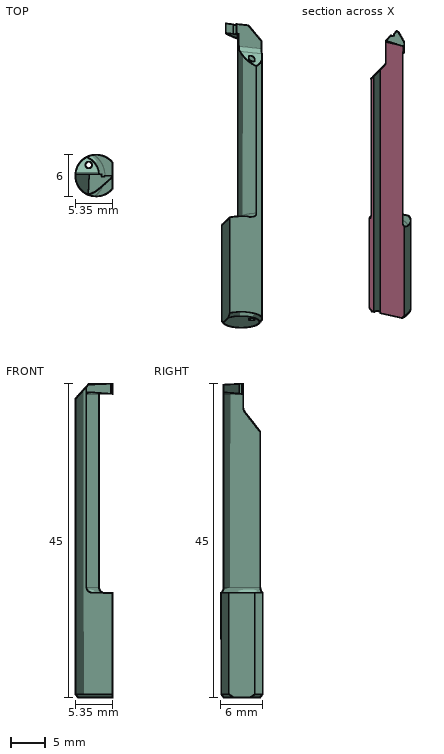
import cadquery as cq
import math

TOTAL_LENGTH = 45.0
SHANK_RADIUS = 3.0
SHANK_LENGTH = 15.0
FLAT_X = 2.35
CHAMFER_HEIGHT = 0.5
CHAMFER_WIDTH = 0.4

NECK_FRONT_X = 0.42
NECK_RADIUS = 2.85
NECK_AXIS_X = NECK_FRONT_X - NECK_RADIUS
FOOT_FILLET = 0.8

CORNER_X = (NECK_AXIS_X**2 + SHANK_RADIUS**2 - NECK_RADIUS**2) / (2 * NECK_AXIS_X)
CORNER_Y = math.sqrt(SHANK_RADIUS**2 - CORNER_X**2)

TIP_X = FLAT_X
HEAD_HEIGHT = 1.5
TOP_RELIEF_ANGLE = 3.0
UNDER_RELIEF_ANGLE = 2.5
UNDER_SIDE_ANGLE = 2.5

HEEL_MID = (-0.4, -2.47)
FLANK_TOP = (0.7, -1.65)
FLANK_END = (2.12, -0.4)

COVE_RADIUS = 0.25
COVE_BOTTOM_Z = 43.47
CROWN_X = -1.0
BACK_SLOPE_DROP = 2.2

FACE_Y = 0.2
FACE_BOTTOM_Z = 41.68
BLEND_RADIUS = 1.4
RAMP_ANGLE = 52.0

GROOVE_START_X = 0.8
GROOVE_MID = (0.97, -0.2)
GROOVE_END = (1.2, -0.05)

HOLE_DIAMETER = 0.92
HOLE_CENTER = (-1.07, 1.52)

CLEAR = 10.0


def make_bar():
    """Round bar with a chamfered end and a full-length clamping flat."""
    bar = (
        cq.Workplane("XZ")
        .moveTo(0, 0)
        .lineTo(SHANK_RADIUS - CHAMFER_WIDTH, 0)
        .lineTo(SHANK_RADIUS, CHAMFER_HEIGHT)
        .lineTo(SHANK_RADIUS, TOTAL_LENGTH)
        .lineTo(0, TOTAL_LENGTH)
        .close()
        .revolve(360, (0, 0, 0), (0, 1, 0))
    )
    beyond_flat = cq.Workplane("XY").box(
        CLEAR, 2 * CLEAR, TOTAL_LENGTH, centered=(False, True, False)
    )
    return bar.cut(beyond_flat.translate((FLAT_X, 0, 0)))


def make_neck_relief():
    """Ring around the neck axis that leaves the slim neck and its filleted foot."""
    outer = NECK_RADIUS + CLEAR
    middle = FOOT_FILLET * (1 - math.sqrt(0.5))
    return (
        cq.Workplane("XZ")
        .moveTo(NECK_RADIUS, TOTAL_LENGTH)
        .lineTo(NECK_RADIUS, SHANK_LENGTH + FOOT_FILLET)
        .threePointArc(
            (NECK_RADIUS + middle, SHANK_LENGTH + middle),
            (NECK_RADIUS + FOOT_FILLET, SHANK_LENGTH),
        )
        .lineTo(outer, SHANK_LENGTH)
        .lineTo(outer, TOTAL_LENGTH)
        .close()
        .revolve(360, (0, 0, 0), (0, 1, 0))
        .translate((NECK_AXIS_X, 0, 0))
    )


def make_head_prism():
    """Outline of the head in plan, taller than the finished head."""
    flank_direction = (FLANK_TOP[0] - FLANK_END[0], FLANK_TOP[1] - FLANK_END[1])
    heel_direction = (-1, 0)
    return (
        cq.Workplane("XY")
        .workplane(offset=TOTAL_LENGTH - 2 * HEAD_HEIGHT)
        .moveTo(CORNER_X, FACE_Y)
        .lineTo(GROOVE_START_X, FACE_Y)
        .threePointArc(GROOVE_MID, GROOVE_END)
        .lineTo(TIP_X, 0)
        .lineTo(*FLANK_END)
        .spline(
            [FLANK_TOP, HEEL_MID, (CORNER_X, -CORNER_Y)],
            tangents=[flank_direction, heel_direction],
            includeCurrent=True,
        )
        .close()
        .extrude(2 * HEAD_HEIGHT)
    )


def make_head_cove():
    """Coved collar that blends the neck into the underside of the head."""
    middle = COVE_RADIUS * (1 - math.sqrt(0.5))
    cove_top_z = COVE_BOTTOM_Z + COVE_RADIUS
    return (
        cq.Workplane("XZ")
        .moveTo(0, COVE_BOTTOM_Z)
        .lineTo(NECK_RADIUS, COVE_BOTTOM_Z)
        .threePointArc(
            (NECK_RADIUS + middle, cove_top_z - middle),
            (NECK_RADIUS + COVE_RADIUS, cove_top_z),
        )
        .lineTo(0, cove_top_z)
        .close()
        .revolve(360, (0, 0, 0), (0, 1, 0))
        .translate((NECK_AXIS_X, 0, 0))
    )


def make_head():
    """Hooked head reaching past the neck to the tip, with a relieved underside."""
    prism = make_head_prism()
    below = (
        cq.Workplane("XY")
        .box(2 * CLEAR, 2 * CLEAR, CLEAR)
        .translate((0, 0, -CLEAR / 2))
        .rotate((0, 0, 0), (1, 0, 0), -UNDER_RELIEF_ANGLE)
        .rotate((0, 0, 0), (0, 1, 0), UNDER_SIDE_ANGLE)
        .translate((TIP_X, 0, TOTAL_LENGTH - HEAD_HEIGHT))
    )
    return prism.cut(below).union(prism.intersect(make_head_cove()))


def make_face_cut():
    """Pocket open to +Y that mills the face, its blend and the runout ramp."""
    steepness = math.radians(RAMP_ANGLE)
    ramp_start_y = FACE_Y + BLEND_RADIUS * (1 - math.sin(steepness))
    ramp_start_z = FACE_BOTTOM_Z - BLEND_RADIUS * math.cos(steepness)
    ramp_end_y = CLEAR
    ramp_end_z = ramp_start_z - (ramp_end_y - ramp_start_y) * math.tan(steepness)
    return (
        cq.Workplane("YZ")
        .moveTo(FACE_Y, TOTAL_LENGTH)
        .lineTo(FACE_Y, FACE_BOTTOM_Z)
        .tangentArcPoint((ramp_start_y, ramp_start_z), relative=False)
        .lineTo(ramp_end_y, ramp_end_z)
        .lineTo(ramp_end_y, TOTAL_LENGTH)
        .close()
        .extrude(CLEAR, both=True)
    )


def make_top_relief():
    """Wedge that tilts the top face down toward -Y."""
    fall = (FACE_Y + CLEAR) * math.tan(math.radians(TOP_RELIEF_ANGLE))
    return (
        cq.Workplane("YZ")
        .moveTo(FACE_Y, TOTAL_LENGTH)
        .lineTo(-CLEAR, TOTAL_LENGTH)
        .lineTo(-CLEAR, TOTAL_LENGTH - fall)
        .close()
        .extrude(CLEAR, both=True)
    )


def make_back_slope():
    """Wedge that slopes the -X side of the head."""
    return (
        cq.Workplane("XZ")
        .moveTo(CROWN_X, TOTAL_LENGTH)
        .lineTo(-SHANK_RADIUS, TOTAL_LENGTH - BACK_SLOPE_DROP)
        .lineTo(-SHANK_RADIUS, TOTAL_LENGTH)
        .close()
        .extrude(CLEAR, both=True)
    )


def make_coolant_hole():
    """Straight coolant hole through the full length, parallel to the bar axis."""
    return (
        cq.Workplane("XY")
        .center(*HOLE_CENTER)
        .circle(HOLE_DIAMETER / 2)
        .extrude(TOTAL_LENGTH)
    )


result = (
    make_bar()
    .cut(make_neck_relief())
    .cut(make_face_cut())
    .union(make_head())
    .cut(make_top_relief())
    .cut(make_back_slope())
    .cut(make_coolant_hole())
)